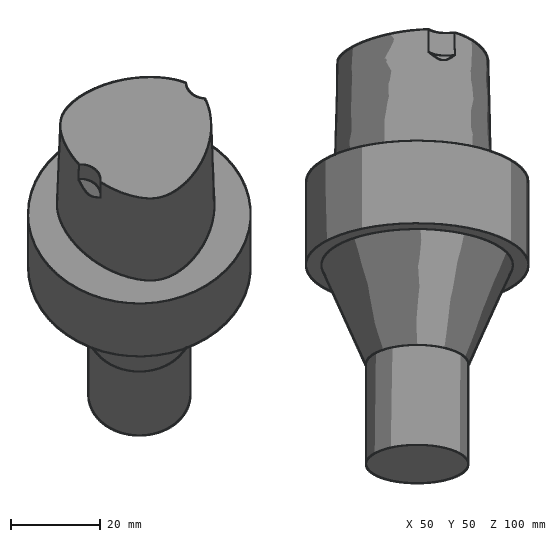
import cadquery as cq
import math

total_height = 100.0
shank_diameter = 23.0
tip_diameter = 10.0
tip_height = 1.8
shank_top = 26.0
flange_diameter = 50.0
flange_bottom = 50.0
flange_top = 70.0
cone_top_diameter = 43.0

coupling_base_width = 35.4
taper_ratio = 1 / 20
lobe_height = 1.2
outline_points = 48

groove_radius = 4.5
groove_depth = 5.5
lobe_groove_wall_y = 16.4
flat_groove_wall_y = 13.9

coupling_height = total_height - flange_top
coupling_top_width = coupling_base_width - taper_ratio * coupling_height


def turned_body():
    profile = [
        (0, 0),
        (tip_diameter / 2, 0),
        (shank_diameter / 2, tip_height),
        (shank_diameter / 2, shank_top),
        (cone_top_diameter / 2, flange_bottom),
        (flange_diameter / 2, flange_bottom),
        (flange_diameter / 2, flange_top),
        (0, flange_top),
    ]
    return cq.Workplane("XZ").polyline(profile).close().revolve(360, (0, 0), (0, 1))


def lobed_outline(width, z):
    """Closed curve of constant width with three rounded lobes."""
    points = []
    for i in range(outline_points):
        angle = 2 * math.pi * i / outline_points
        along = width / 2 * math.cos(angle) + lobe_height * (2 * math.cos(2 * angle) - math.cos(4 * angle))
        across = width / 2 * math.sin(angle) - lobe_height * (2 * math.sin(2 * angle) + math.sin(4 * angle))
        points.append(cq.Vector(-across, along, z))
    return cq.Wire.assembleEdges([cq.Edge.makeSpline(points, periodic=True)])


def coupling():
    base = lobed_outline(coupling_base_width, flange_top)
    top = lobed_outline(coupling_top_width, total_height)
    return cq.Workplane(obj=cq.Solid.makeLoft([base, top], True))


def groove(axis_y):
    """Vertical round cutter whose lower end is a 45 degree cone."""
    shoulder_z = total_height - groove_depth
    profile = [
        (0, shoulder_z - groove_radius),
        (groove_radius, shoulder_z),
        (groove_radius, total_height),
        (0, total_height),
    ]
    cutter = cq.Workplane("XZ").polyline(profile).close().revolve(360, (0, 0), (0, 1))
    return cutter.translate((0, axis_y, 0))


result = turned_body().union(coupling())
for groove_axis_y in (lobe_groove_wall_y + groove_radius, -flat_groove_wall_y - groove_radius):
    result = result.cut(groove(groove_axis_y))